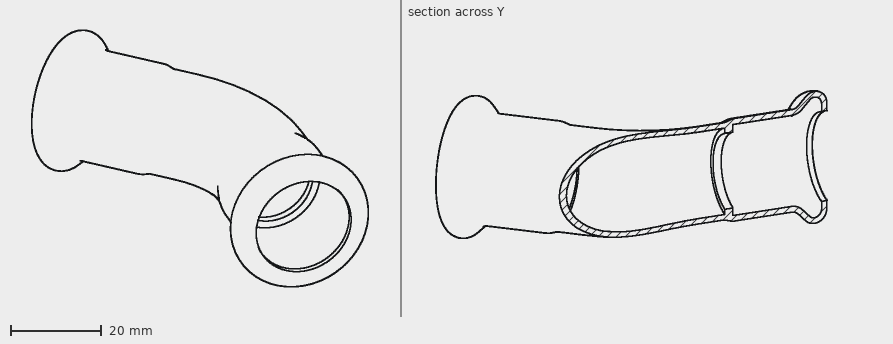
import cadquery as cq
import math


bend_angle = 45.0
bend_radius = 33.4
leg_length = 31.2
tube_radius = 23.8 / 2
tube_bore_radius = 10.6

wall = 1.4
socket_radius = 25.0 / 2
socket_bore_radius = socket_radius - wall

bead_radius = 31.7 / 2
bead_round = 3.05
bead_center_radius = bead_radius - bead_round
bead_inner_round = bead_round - wall
mouth_radius = 11.0
cone_angle = 45.0
cone_blend = 2.2

step_start = 23.0
step_end = 24.95
step_top_blend = 2.7
step_foot_blend = 1.7

stop_radius = 9.45
stop_start = 22.9
stop_end = 24.9


def toward(start, target, distance):
    """Point at a given distance from start on the line to target."""
    span = math.dist(start, target)
    return tuple(a + (b - a) * distance / span for a, b in zip(start, target))


def line_and_blend(path, before, corner, after, radius):
    """Run a line up to a corner, then round it with a tangent arc."""
    to_before = math.atan2(before[1] - corner[1], before[0] - corner[0])
    to_after = math.atan2(after[1] - corner[1], after[0] - corner[0])
    half_angle = math.acos(math.cos(to_before - to_after)) / 2
    arc_start = toward(corner, before, radius / math.tan(half_angle))
    arc_end = toward(corner, after, radius / math.tan(half_angle))
    chord_middle = tuple((a + b) / 2 for a, b in zip(arc_start, arc_end))
    arc_middle = toward(corner, chord_middle, radius / math.sin(half_angle) - radius)
    return path.lineTo(*arc_start).threePointArc(arc_middle, arc_end)


def bead_point(radius, degrees):
    """Point on a circle around the bead center; 0 degrees points into the socket."""
    angle = math.radians(degrees)
    return (bead_round + radius * math.cos(angle), bead_center_radius + radius * math.sin(angle))


def cone_foot(cone_top, sleeve_radius):
    """Corner where the cone that starts at cone_top meets the sleeve."""
    drop = cone_top[1] - sleeve_radius
    return (cone_top[0] + drop / math.tan(math.radians(cone_angle)), sleeve_radius)


def make_leg():
    """Socket with its seal bead, stop ring and straight tube, along +X from the mouth."""
    cone_top_direction = 90 - cone_angle
    bead_middle_direction = (180 + cone_top_direction) / 2
    outer_cone_top = bead_point(bead_round, cone_top_direction)
    outer_foot = cone_foot(outer_cone_top, socket_radius)
    inner_cone_top = bead_point(bead_inner_round, cone_top_direction)
    inner_foot = cone_foot(inner_cone_top, socket_bore_radius)
    step_top = (step_start, socket_radius)
    step_foot = (step_end, tube_radius)
    tube_end = (leg_length, tube_radius)
    stop_foot = (stop_start, socket_bore_radius)

    path = cq.Workplane("XY").moveTo(0, mouth_radius).lineTo(0, bead_center_radius)
    path = path.threePointArc(bead_point(bead_round, bead_middle_direction), outer_cone_top)
    path = line_and_blend(path, outer_cone_top, outer_foot, step_top, cone_blend)
    path = line_and_blend(path, outer_foot, step_top, step_foot, step_top_blend)
    path = line_and_blend(path, step_top, step_foot, tube_end, step_foot_blend)
    path = path.lineTo(*tube_end)

    path = path.lineTo(leg_length, tube_bore_radius).lineTo(stop_end, tube_bore_radius)
    path = path.lineTo(stop_end, stop_radius).lineTo(stop_start, stop_radius).lineTo(*stop_foot)
    path = line_and_blend(path, stop_foot, inner_foot, inner_cone_top, cone_blend + wall)
    path = path.lineTo(*inner_cone_top)
    path = path.threePointArc(
        bead_point(bead_inner_round, bead_middle_direction), (wall, bead_center_radius)
    )
    path = path.lineTo(wall, mouth_radius).close()
    return path.revolve(360, (0, 0, 0), (1, 0, 0))


def make_bend():
    """Curved tube that starts at the end of the first leg and turns toward -Y."""
    section = cq.Workplane("YZ", origin=(leg_length, 0, 0)).circle(tube_radius).circle(tube_bore_radius)
    return section.revolve(bend_angle, (-bend_radius, 1, 0), (-bend_radius, 0, 0))


mouth_to_corner = leg_length + bend_radius * math.tan(math.radians(bend_angle / 2))
turn = math.radians(bend_angle)
second_mouth = (
    mouth_to_corner * (1 + math.cos(turn)),
    -mouth_to_corner * math.sin(turn),
    0,
)

first_leg = make_leg()
second_leg = make_leg().rotate((0, 0, 0), (0, 0, 1), 180 - bend_angle).translate(second_mouth)
result = first_leg.union(make_bend()).union(second_leg)